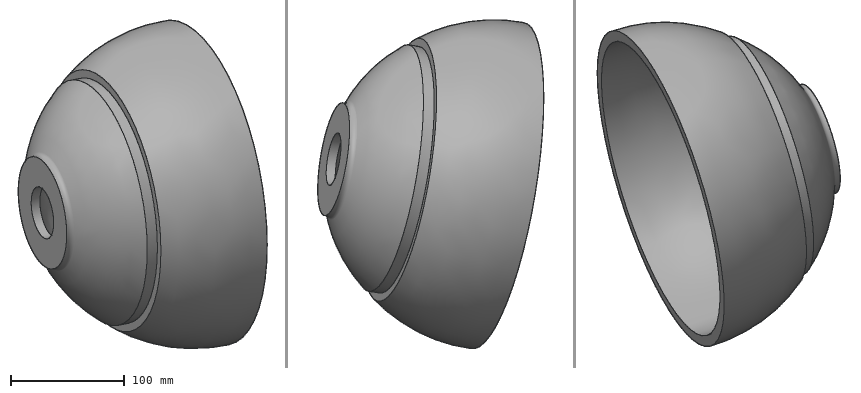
import cadquery as cq

rim_radius = 145.0
height = 150.0
bowl_arc_radius = 145.0

shoulder_radius = 117.0
shoulder_y = 60.0
band_radius = 109.5
band_width = 10.0
band_front_y = shoulder_y - band_width

dome_arc_radius = 140.0
dome_end_radius = 52.8
dome_end_y = 6.5
foot_radius = 50.2
foot_height = 2.0

wall = 10.0
floor_thickness = 8.5
cavity_bend_y = 54.2
hole_radius = 23.2


def revolve_about_y(profile):
    """Turn a closed (radius, Y) profile through a full revolution about Y."""
    return profile.close().revolve(360, (0, 0, 0), (0, 1, 0))


def make_outer_body():
    """Solid bowl with a stepped band, a lower dome and a filleted foot."""
    profile = (
        cq.Workplane("XY")
        .lineTo(foot_radius, 0)
        .lineTo(foot_radius, foot_height)
        .tangentArcPoint((dome_end_radius, dome_end_y), relative=False)
        .radiusArc((band_radius, band_front_y), -dome_arc_radius)
        .lineTo(band_radius, shoulder_y)
        .lineTo(shoulder_radius, shoulder_y)
        .radiusArc((rim_radius, height), -bowl_arc_radius)
        .lineTo(0, height)
    )
    return revolve_about_y(profile)


def make_cavity():
    """Open interior that follows the bowl and the lower dome inside the wall."""
    profile = (
        cq.Workplane("XY")
        .moveTo(0, height)
        .lineTo(0, floor_thickness)
        .lineTo(hole_radius, floor_thickness)
        .radiusArc((band_radius - wall, cavity_bend_y), -(dome_arc_radius - wall))
        .radiusArc((rim_radius - wall, height), -(bowl_arc_radius - wall))
        .lineTo(0, height)
    )
    return revolve_about_y(profile)


def make_foot_hole():
    """Central hole from the foot into the cavity."""
    return cq.Workplane("XZ").circle(hole_radius).extrude(-height)


result = make_outer_body().cut(make_cavity()).cut(make_foot_hole())